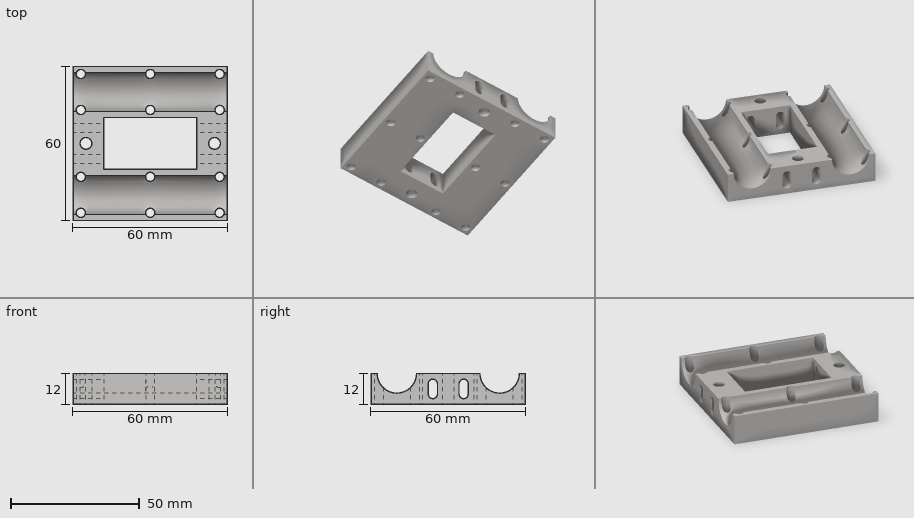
import cadquery as cq

block_side = 60.0
block_height = 12.0

groove_diameter = 15.2
groove_offset_y = 20.0

tie_hole_diameter = 3.5
tie_hole_pitch_x = 27.0
tie_hole_offset_y = 7.0

window_length = 36.0
window_width = 20.0
mount_hole_diameter = 4.5
mount_hole_spacing = 50.0

slot_width = 3.5
slot_height = 7.5
slot_offset_y = 6.0


def make_block():
    """Square block standing on Z = 0, centred on the Z axis."""
    return cq.Workplane("XY").box(block_side, block_side, block_height, centered=(True, True, False))


def make_groove(center_y):
    """Full-length rod whose axis lies in the top face."""
    end_plane = cq.Workplane("YZ").workplane(offset=-block_side / 2)
    return end_plane.center(center_y, block_height).circle(groove_diameter / 2).extrude(block_side)


def make_tie_holes(center_y):
    """Two rows of three through holes, one row on each edge of a groove."""
    points = [
        (column * tie_hole_pitch_x, center_y + side * tie_hole_offset_y)
        for column in (-1, 0, 1)
        for side in (-1, 1)
    ]
    return cq.Workplane("XY").pushPoints(points).circle(tie_hole_diameter / 2).extrude(block_height)


def make_window():
    """Central rectangular opening through the full height."""
    return cq.Workplane("XY").rect(window_length, window_width).extrude(block_height)


def make_mount_holes():
    """One through hole in each end wall."""
    points = [(side * mount_hole_spacing / 2, 0) for side in (-1, 1)]
    return cq.Workplane("XY").pushPoints(points).circle(mount_hole_diameter / 2).extrude(block_height)


def make_slots():
    """Pair of round-ended upright slots at mid-height, through both end walls."""
    points = [(side * slot_offset_y, block_height / 2) for side in (-1, 1)]
    end_plane = cq.Workplane("YZ").workplane(offset=-block_side / 2)
    return end_plane.pushPoints(points).slot2D(slot_height, slot_width, 90).extrude(block_side)


result = make_block()
for groove_y in (-groove_offset_y, groove_offset_y):
    result = result.cut(make_groove(groove_y)).cut(make_tie_holes(groove_y))
result = result.cut(make_window()).cut(make_mount_holes()).cut(make_slots())